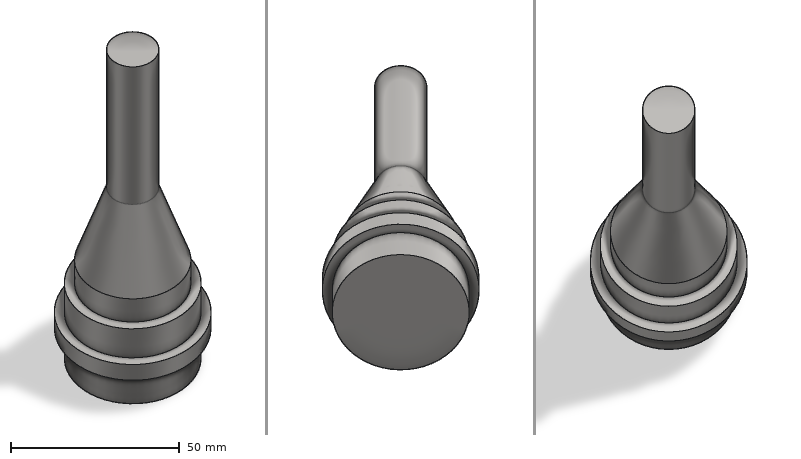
import cadquery as cq

body_diameter = 40.5
flange_diameter = 46.5
collar_diameter = 34.5
stem_diameter = 15.5

total_height = 123.2
flange_bottom = 12.1
flange_top = 18.4
body_top = 29.9
collar_top = 39.2
cone_top = 68.3


def cylinder(diameter, bottom, top):
    """Vertical cylinder on the Z axis between two heights."""
    return cq.Workplane("XY").workplane(offset=bottom).circle(diameter / 2).extrude(top - bottom)


def cone(bottom_diameter, top_diameter, bottom, top):
    """Vertical truncated cone on the Z axis between two heights."""
    return (
        cq.Workplane("XY")
        .workplane(offset=bottom)
        .circle(bottom_diameter / 2)
        .workplane(offset=top - bottom)
        .circle(top_diameter / 2)
        .loft(ruled=True)
    )


body = cylinder(body_diameter, 0, body_top)
flange = cylinder(flange_diameter, flange_bottom, flange_top)

collar = cylinder(collar_diameter, body_top, collar_top)
taper = cone(collar_diameter, stem_diameter, collar_top, cone_top)
stem = cylinder(stem_diameter, cone_top, total_height)

result = body.union(flange).union(collar).union(taper).union(stem)